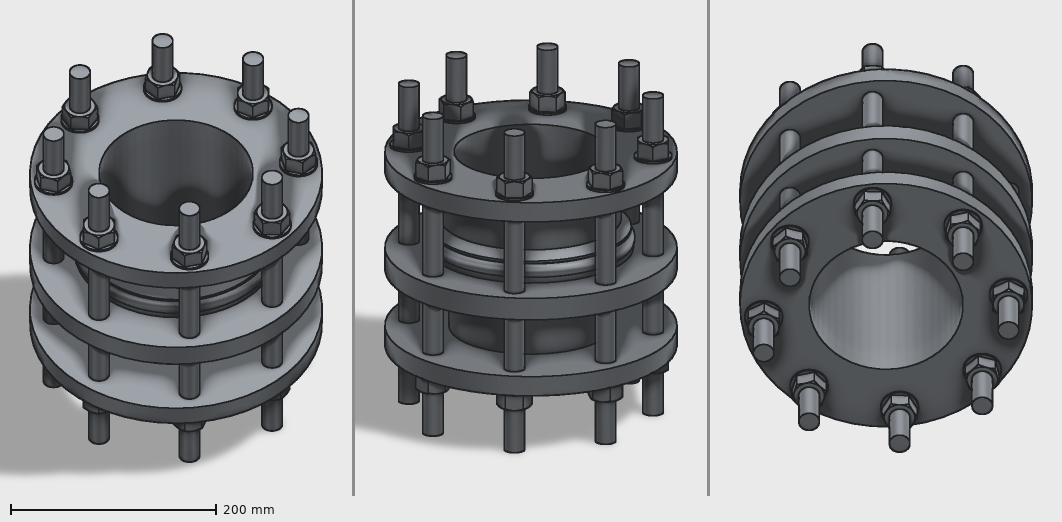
import cadquery as cq
import math

stud_length = 330.0
end_span = 201.3
end_top = end_span / 2

flange_diameter = 285.0
end_flange_thickness = 20.0
middle_flange_thickness = 22.5
middle_flange_top = 1.0

bore_diameter = 150.0
pipe_diameter = 160.0

neck_top_radius = 89.8
neck_bottom_radius = 88.0
skirt_top = 31.0
rim_radius = 98.0
rim_top = 23.0
rim_bottom = 20.8
groove_radius = 95.5

gland_diameter = 203.0
gland_round = 8.5
gland_middle = 11.0
gland_arc_bottom = 7.0
gland_foot_radius = 100.0

stud_count = 8
stud_circle_diameter = 240.2
stud_diameter = 20.0
washer_diameter = 37.0
washer_thickness = 2.0
nut_across_flats = 30.0
nut_height = 16.5
nut_edge_drop = 1.5


def disc(diameter, bottom, height):
    """Solid cylinder on the main axis."""
    return cq.Workplane("XY").workplane(offset=bottom).circle(diameter / 2).extrude(height)


def make_body():
    """Revolved neck, skirt, rim and gland ring, with the axis as inner edge."""
    neck_top = end_top - end_flange_thickness
    gland_radius = gland_diameter / 2
    arc_center = gland_radius - gland_round
    arc_top = gland_middle + math.sqrt(gland_round**2 - (groove_radius - arc_center) ** 2)
    arc_end = arc_center + math.sqrt(gland_round**2 - (gland_middle - gland_arc_bottom) ** 2)
    return (
        cq.Workplane("XZ")
        .moveTo(0, neck_top)
        .lineTo(neck_top_radius, neck_top)
        .lineTo(neck_bottom_radius, skirt_top)
        .lineTo(rim_radius, rim_top)
        .lineTo(rim_radius, rim_bottom)
        .lineTo(groove_radius, rim_bottom)
        .lineTo(groove_radius, arc_top)
        .threePointArc((gland_radius, gland_middle), (arc_end, gland_arc_bottom))
        .lineTo(gland_foot_radius, middle_flange_top)
        .lineTo(0, middle_flange_top)
        .close()
        .revolve(360, (0, 0, 0), (0, 1, 0))
    )


def make_nut():
    """Hexagon nut standing on Z = 0, its upper corners cut by a cone."""
    corner_radius = nut_across_flats / math.sqrt(3)
    flat_radius = nut_across_flats / 2
    hexagon = cq.Workplane("XY").polygon(6, 2 * corner_radius).extrude(nut_height)
    envelope = (
        cq.Workplane("XZ")
        .lineTo(corner_radius, 0)
        .lineTo(corner_radius, nut_height - nut_edge_drop)
        .lineTo(flat_radius, nut_height)
        .lineTo(0, nut_height)
        .close()
        .revolve(360, (0, 0, 0), (0, 1, 0))
    )
    return hexagon.intersect(envelope)


def make_stud_set():
    """Stud with a washer and nut on each end flange, at the first stud position."""
    washer = disc(washer_diameter, end_top, washer_thickness)
    nut = make_nut().translate((0, 0, end_top + washer_thickness))
    upper = washer.union(nut)
    stud = disc(stud_diameter, -stud_length / 2, stud_length)
    first_angle = math.radians(180 / stud_count)
    stud_radius = stud_circle_diameter / 2
    position = (stud_radius * math.cos(first_angle), stud_radius * math.sin(first_angle), 0)
    return stud.union(upper).union(upper.mirror("XY")).translate(position)


top_flange = disc(flange_diameter, end_top - end_flange_thickness, end_flange_thickness)
bottom_flange = disc(flange_diameter, -end_top, end_flange_thickness)
middle_flange = disc(
    flange_diameter, middle_flange_top - middle_flange_thickness, middle_flange_thickness
)
pipe = disc(pipe_diameter, -end_top, end_top + middle_flange_top)
bore = disc(bore_diameter, -end_top, end_span)

result = top_flange.union(bottom_flange).union(middle_flange).union(pipe).union(make_body())
result = result.cut(bore)

stud_set = make_stud_set()
for index in range(stud_count):
    angle = index * 360 / stud_count
    result = result.union(stud_set.rotate((0, 0, 0), (0, 0, 1), angle))